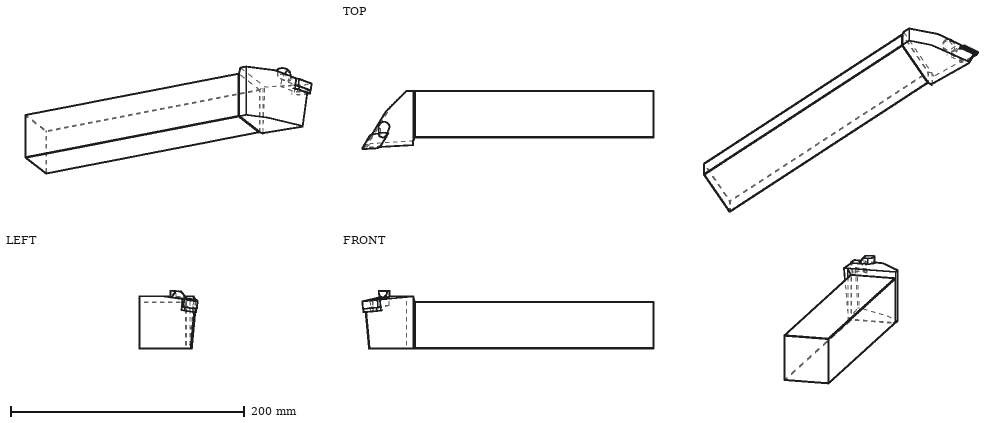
import cadquery as cq
import math

total_length = 250
shank_size = 40
back_y = 50
shank_start = 45
shank_chamfer = 0.5

head_top = 45
head_end = 43.8
shoulder_front_y = 6.8
bevel_start = 38.0
ridge_sum = 50
head_reach = 100

seat_tilt = 7.5
lead_angle = 3.5
tip_angle = 55
half_tip = tip_angle / 2

edge_length = 15.2
insert_thickness = 6.5
nose_radius = 0.8
insert_corner_cut = 1.5

shim_thickness = 3.0
shim_inset = 0.5
shim_corner_cut = 3.2

wedge_inset = 1.0
wedge_tip_flat = 1.5

clamp_top = 49.8
clamp_x = 18.8
clamp_y = 18.8
clamp_radius = 4.8
clamp_base = 40
clamp_nose_points = [(20.8, 12.0), (18.2, 9.8), (14.0, 11.2)]
undercut_top = 48.0
undercut_depth = 2.2
nose_slope_back_y = 14.2
nose_slope_front_y = 9.5
nose_top = 49.0
nose_slope_drop = 5.8

ridge_distance = (ridge_sum - 2 * nose_radius) / math.sqrt(2)
tilt = math.radians(seat_tilt)
slope_part = math.sin(tilt) / math.sqrt(2)
seat = cq.Plane(
    origin=(nose_radius, nose_radius, head_top - ridge_distance * math.tan(tilt)),
    xDir=(1, -1, 0),
    normal=(-slope_part, -slope_part, math.cos(tilt)),
)
front_angle = 45 + lead_angle
left_angle = front_angle + tip_angle
middle_angle = front_angle + half_tip


def along(point, angle, distance):
    """Point at a distance from another, in a direction given in degrees."""
    turn = math.radians(angle)
    return (point[0] + distance * math.cos(turn), point[1] + distance * math.sin(turn))


def sharp_tip(inset):
    """Sharp tip of a 55 degree wedge set back from both insert edges."""
    return along((0, 0), middle_angle, (inset - nose_radius) / math.sin(math.radians(half_tip)))


def rhombus(inset, corner_cut, top, thickness):
    """Rhombic plate in the seat frame, with its two blunt corners cut off."""
    tip = sharp_tip(inset)
    side = edge_length - inset
    right = along(tip, front_angle, side)
    left = along(tip, left_angle, side)
    far = along(right, left_angle, side)
    outline = [tip, right, far, left]
    if corner_cut:
        outline = [
            tip,
            along(tip, front_angle, side - corner_cut),
            along(right, left_angle, corner_cut),
            far,
            along(left, front_angle, corner_cut),
            along(tip, left_angle, side - corner_cut),
        ]
    return cq.Workplane(seat).workplane(offset=top).polyline(outline).close().extrude(-thickness)


def make_insert():
    insert = rhombus(0, insert_corner_cut, 0, insert_thickness)
    tip = seat.toWorldCoords((*sharp_tip(0), -insert_thickness / 2))
    return insert.edges(cq.selectors.NearestToPointSelector(tip.toTuple())).fillet(nose_radius)


def make_shank():
    length = total_length - shank_start
    shank = cq.Workplane("XY").box(length, shank_size, shank_size, centered=False)
    shank = shank.edges().chamfer(shank_chamfer)
    return shank.translate((shank_start, back_y - shank_size, 0))


def make_shoulder():
    """Sloped step from the end of the head down to the shank."""
    def section(x, front_y, height):
        corners = [(x, front_y, 0), (x, back_y, 0), (x, back_y, height), (x, front_y, height)]
        return cq.Wire.makePolygon([cq.Vector(*corner) for corner in corners], close=True)

    sections = [
        section(head_end, shoulder_front_y, head_top),
        section(shank_start, back_y - shank_size, shank_size),
    ]
    return cq.Workplane(cq.Solid.makeLoft(sections, True))


def make_head():
    """Upright block with a 45 degree bevel, trimmed by the tilted wedge and top."""
    block_outline = [
        (head_end, back_y),
        (bevel_start, back_y),
        (bevel_start - head_reach, back_y - head_reach),
        (head_end, back_y - head_reach),
    ]
    block = cq.Workplane("XY").polyline(block_outline).close().extrude(head_top)
    tip = sharp_tip(wedge_inset)
    wedge_outline = [
        along(tip, front_angle, wedge_tip_flat),
        along(tip, front_angle, head_reach),
        along(tip, left_angle, head_reach),
        along(tip, left_angle, wedge_tip_flat),
    ]
    wedge = cq.Workplane(seat).polyline(wedge_outline).close().extrude(-head_reach)
    return block.intersect(wedge)


def make_clamp():
    """Rounded finger whose top falls gently forward and whose nose slopes to the insert."""
    clamp = (
        cq.Workplane("XY", origin=(0, 0, clamp_base))
        .moveTo(clamp_x + clamp_radius, clamp_y)
        .threePointArc((clamp_x, clamp_y + clamp_radius), (clamp_x - clamp_radius, clamp_y))
    )
    for point in reversed(clamp_nose_points):
        clamp = clamp.lineTo(*point)
    clamp = clamp.close().extrude(clamp_top - clamp_base)
    slope_outline = [
        (clamp_y + clamp_radius, clamp_top),
        (nose_slope_back_y, nose_top),
        (nose_slope_front_y, nose_top - nose_slope_drop),
        (nose_slope_front_y, clamp_top),
    ]
    slope = cq.Workplane("YZ").polyline(slope_outline).close().extrude(head_end)
    flank_x = clamp_x - clamp_radius
    undercut_outline = [
        (flank_x - undercut_depth, clamp_base),
        (flank_x + undercut_depth, clamp_base),
        (flank_x, undercut_top),
        (flank_x - undercut_depth, undercut_top),
    ]
    undercut = cq.Workplane("XZ").polyline(undercut_outline).close().extrude(-back_y)
    return clamp.cut(slope).cut(undercut)


def make_holder(insert):
    pocket = rhombus(0, 0, 0, insert_thickness + shim_thickness)
    shim = rhombus(shim_inset, shim_corner_cut, -insert_thickness, shim_thickness)
    above_seat = cq.Workplane(seat).rect(2 * head_reach, 2 * head_reach).extrude(head_reach)
    head = make_head().cut(pocket).union(shim)
    clamp = make_clamp().intersect(above_seat)
    return make_shank().union(make_shoulder()).union(head).union(clamp).cut(insert)


insert = make_insert()
holder = make_holder(insert)
result = cq.Compound.makeCompound([*holder.solids().vals(), *insert.solids().vals()])